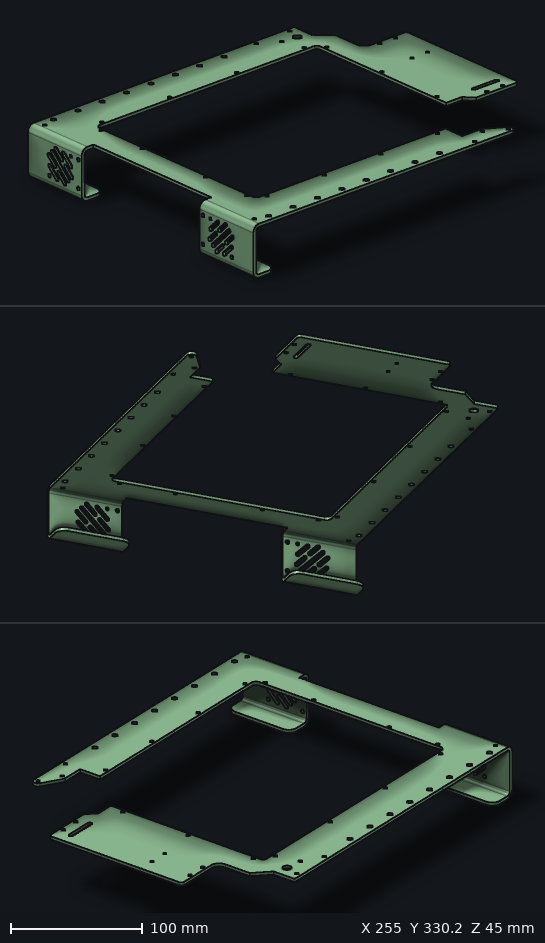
import cadquery as cq
import math

WIDTH = 255.0
DEPTH = 330.2
HEIGHT = 45.0
THICKNESS = 3.0
BEND_RADIUS = 6.0
HALF_WIDTH = WIDTH / 2

RAIL_WIDTH = 37.0
WINDOW_FRONT = 36.2
WINDOW_BACK = 263.0
WINDOW_FILLET = 4.0
WINDOW_REAR_FILLET = 3.0
WINDOW_HALF = HALF_WIDTH - RAIL_WIDTH

LEFT_RAIL_BACK = 273.0
SHOULDER_BACK = 286.0
SHOULDER_START_X = -107.3
SHOULDER_END_X = SHOULDER_START_X + SHOULDER_BACK - LEFT_RAIL_BACK
TAB_HALF = 63.5
TAB_FILLET = 3.0
TAB_INNER_FILLET = 7.5
TAB_FRONT_RIGHT = 286.5
TAB_STEP_X = 55.5
TAB_STEP_BACK = 279.3
LEFT_CORNER_FILLET = 1.5

RIGHT_RAIL_BACK = 230.5
NECK_X = 109.5
NECK_BACK = 249.5
NOSE_RADIUS = 4.0
NOSE_X = HALF_WIDTH - NOSE_RADIUS
NOSE_Y = 265.0

FOOT_WIDTH = 61.0
FOOT_INNER_X = HALF_WIDTH - FOOT_WIDTH
NOTCH_DEPTH = 12.0
LIP_LENGTH = 22.8
LIP_FILLET = 8.0

SCREW_DIAMETER = 3.0
PILOT_DIAMETER = 2.5
RAIL_HOLE_DIAMETER = 4.2
CABLE_HOLE_DIAMETER = 7.0

RAIL_HOLE_X = 121.7
RAIL_HOLE_FIRST_Y = 21.0
RAIL_HOLE_PITCH = 25.0
RAIL_HOLE_COUNT = 8
SCREW_POINTS_BOTH_SIDES = [
    (NOSE_X, NOSE_Y),
    (113.5, 247.5),
    (NOSE_X, RIGHT_RAIL_BACK),
    (118.5, 9.2),
    (82.4, 34.2),
    (36.0, 34.2),
]
WINDOW_HOLE_INSET = 2.8
LEFT_WINDOW_HOLE_Y = [45.0, 114.3, 183.2, 252.3]
RIGHT_WINDOW_HOLE_Y = [45.0, 103.7, 161.8, 219.8]
BACK_WINDOW_HOLE_X = [-82.5, -20.3, 42.0]
CABLE_HOLE_POINT = (-111.8, 262.0)
TAB_HOLE_X = 60.5
TAB_PILOT_X = -24.2
TAB_HOLE_Y = [300.2, 316.2]
TAB_SLOT_X = 50.5
TAB_SLOT_Y = 307.7
TAB_SLOT_LENGTH = 27.0
TAB_SLOT_WIDTH = 3.5
TAB_SLOT_ANGLE = 90.0

VENT_CENTRE_X = FOOT_INNER_X + 24.4
VENT_CENTRE_Z = 22.5
VENT_WIDTH = 3.0
VENT_PITCH = 5.5
VENT_REACH = 14.3
VENT_HALF_GAP = 1.3
VENT_OUTER_ROW_REACH = 7.5
VENT_ANGLE = 45.0

PANEL_UPPER_Z = 34.7
PANEL_LOWER_Z = 10.7
PANEL_INNER_X = FOOT_INNER_X + 3.9
PANEL_OUTER_X = FOOT_INNER_X + 36.6
PANEL_PILOT_X = FOOT_INNER_X + 12.4
PANEL_HOLES = [
    (PANEL_INNER_X, PANEL_UPPER_Z, SCREW_DIAMETER),
    (PANEL_INNER_X, PANEL_LOWER_Z, SCREW_DIAMETER),
    (PANEL_OUTER_X, PANEL_LOWER_Z, SCREW_DIAMETER),
    (PANEL_PILOT_X, PANEL_UPPER_Z, PILOT_DIAMETER),
]

PICK_MARGIN = 0.1


def nose_tangent_point():
    """Point where the slope from the neck meets the rounded nose."""
    dx = NECK_X - NOSE_X
    dy = NECK_BACK - NOSE_Y
    distance = math.hypot(dx, dy)
    angle = math.atan2(dy, dx) - math.acos(NOSE_RADIUS / distance)
    return NOSE_X + NOSE_RADIUS * math.cos(angle), NOSE_Y + NOSE_RADIUS * math.sin(angle)


def vertical_fillet(body, radius, x, y):
    """Round the vertical edge that stands at (x, y)."""
    selector = cq.selectors.BoxSelector(
        (x - PICK_MARGIN, y - PICK_MARGIN, 0),
        (x + PICK_MARGIN, y + PICK_MARGIN, HEIGHT),
    )
    return body.edges("|Z").edges(selector).fillet(radius)


def make_plate():
    """Flat frame with the rear tab and the nose; its front edge lies along the notch."""
    top = (
        cq.Workplane("XY", origin=(0, 0, HEIGHT - THICKNESS))
        .moveTo(-HALF_WIDTH, NOTCH_DEPTH)
        .lineTo(-HALF_WIDTH, LEFT_RAIL_BACK)
        .lineTo(SHOULDER_START_X, LEFT_RAIL_BACK)
        .lineTo(SHOULDER_END_X, SHOULDER_BACK)
        .lineTo(-TAB_HALF, SHOULDER_BACK)
        .lineTo(-TAB_HALF, DEPTH)
        .lineTo(TAB_HALF, DEPTH)
        .lineTo(TAB_HALF, TAB_FRONT_RIGHT)
        .lineTo(TAB_STEP_X, TAB_STEP_BACK)
        .lineTo(TAB_STEP_X, WINDOW_BACK)
        .lineTo(-WINDOW_HALF, WINDOW_BACK)
        .lineTo(-WINDOW_HALF, WINDOW_FRONT)
        .lineTo(WINDOW_HALF, WINDOW_FRONT)
        .lineTo(WINDOW_HALF, RIGHT_RAIL_BACK)
        .lineTo(NECK_X, RIGHT_RAIL_BACK)
        .lineTo(NECK_X, NECK_BACK)
        .lineTo(*nose_tangent_point())
        .threePointArc((NOSE_X, NOSE_Y + NOSE_RADIUS), (HALF_WIDTH, NOSE_Y))
        .lineTo(HALF_WIDTH, NOTCH_DEPTH)
        .close()
        .extrude(THICKNESS)
    )
    for radius, x, y in [
        (LEFT_CORNER_FILLET, -HALF_WIDTH, LEFT_RAIL_BACK),
        (TAB_INNER_FILLET, -TAB_HALF, SHOULDER_BACK),
        (TAB_FILLET, -TAB_HALF, DEPTH),
        (TAB_FILLET, TAB_HALF, DEPTH),
        (WINDOW_REAR_FILLET, -WINDOW_HALF, WINDOW_BACK),
        (WINDOW_FILLET, -WINDOW_HALF, WINDOW_FRONT),
        (WINDOW_FILLET, WINDOW_HALF, WINDOW_FRONT),
    ]:
        top = vertical_fillet(top, radius, x, y)
    return top


def channel_block(inset):
    """Full-width block with rounded front edges, set inside the outer skin by the inset."""
    return (
        cq.Workplane("XY", origin=(0, inset, inset))
        .box(WIDTH, LIP_LENGTH - inset, HEIGHT - 2 * inset, centered=(True, False, False))
        .edges("|X and <Y")
        .fillet(BEND_RADIUS - inset)
    )


def make_feet():
    """C-shaped bends at both front corners, with a rounded lip underneath."""
    channel = channel_block(0).cut(channel_block(THICKNESS))
    gap = cq.Workplane("XY").box(2 * FOOT_INNER_X, LIP_LENGTH, HEIGHT, centered=(True, False, False))
    feet = channel.cut(gap)
    lip_corners = cq.selectors.BoxSelector(
        (-WIDTH, LIP_LENGTH - PICK_MARGIN, 0),
        (WIDTH, LIP_LENGTH + PICK_MARGIN, THICKNESS),
    )
    return feet.edges("|Z").edges(lip_corners).fillet(LIP_FILLET)


def plate_cutter(points, diameter):
    """Round cutters through the plate thickness."""
    return (
        cq.Workplane("XY", origin=(0, 0, HEIGHT - THICKNESS))
        .pushPoints(points)
        .circle(diameter / 2)
        .extrude(THICKNESS)
    )


def cut_plate_holes(body):
    """Drill all holes and the tab slot through the plate."""
    sides = (-1, 1)
    screws = [(side * x, y) for side in sides for x, y in SCREW_POINTS_BOTH_SIDES]
    screws += [(-WINDOW_HALF - WINDOW_HOLE_INSET, y) for y in LEFT_WINDOW_HOLE_Y]
    screws += [(WINDOW_HALF + WINDOW_HOLE_INSET, y) for y in RIGHT_WINDOW_HOLE_Y]
    screws += [(x, WINDOW_BACK + WINDOW_HOLE_INSET) for x in BACK_WINDOW_HOLE_X]
    screws += [(side * TAB_HOLE_X, y) for side in sides for y in TAB_HOLE_Y]
    pilots = [(TAB_PILOT_X, y) for y in TAB_HOLE_Y]
    rail_holes = [
        (side * RAIL_HOLE_X, RAIL_HOLE_FIRST_Y + i * RAIL_HOLE_PITCH)
        for side in sides
        for i in range(RAIL_HOLE_COUNT)
    ]
    body = body.cut(plate_cutter(screws, SCREW_DIAMETER))
    body = body.cut(plate_cutter(pilots, PILOT_DIAMETER))
    body = body.cut(plate_cutter(rail_holes, RAIL_HOLE_DIAMETER))
    body = body.cut(plate_cutter([CABLE_HOLE_POINT], CABLE_HOLE_DIAMETER))
    slot = (
        cq.Workplane("XY", origin=(TAB_SLOT_X, TAB_SLOT_Y, HEIGHT - THICKNESS))
        .slot2D(TAB_SLOT_LENGTH, TAB_SLOT_WIDTH, TAB_SLOT_ANGLE)
        .extrude(THICKNESS)
    )
    return body.cut(slot)


def vent(start, end, row):
    """Slanted slot of the right foot from start to end along its row, measured from the vent centre."""
    angle = math.radians(VENT_ANGLE)
    along = (start + end) / 2
    across = row * VENT_PITCH
    x = VENT_CENTRE_X + along * math.cos(angle) - across * math.sin(angle)
    z = VENT_CENTRE_Z + along * math.sin(angle) + across * math.cos(angle)
    return (
        cq.Workplane("XZ", origin=(x, 0, z))
        .slot2D(end - start, VENT_WIDTH, VENT_ANGLE)
        .extrude(-THICKNESS)
    )


def make_panel_cutter():
    """All openings through the front panel of the right foot."""
    cutter = vent(-VENT_REACH, VENT_REACH, 0)
    for row in (-1, 1):
        cutter = cutter.union(vent(VENT_HALF_GAP, VENT_REACH, row))
        cutter = cutter.union(vent(-VENT_REACH, -VENT_HALF_GAP, row))
        cutter = cutter.union(vent(-VENT_OUTER_ROW_REACH, VENT_OUTER_ROW_REACH, 2 * row))
    for x, z, diameter in PANEL_HOLES:
        hole = cq.Workplane("XZ", origin=(x, 0, z)).circle(diameter / 2).extrude(-THICKNESS)
        cutter = cutter.union(hole)
    return cutter


panel_cutter = make_panel_cutter()
result = make_plate().union(make_feet())
result = cut_plate_holes(result)
result = result.cut(panel_cutter).cut(panel_cutter.mirror("YZ"))